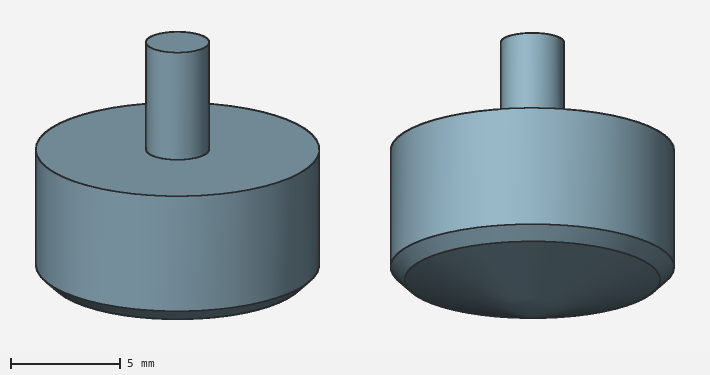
import cadquery as cq

total_height = 13.2
body_diameter = 13.0
stem_diameter = 2.9
stem_length = 5.2
chamfer_height = 0.62
chamfer_width = 0.65
tip_height = 1.8

body_radius = body_diameter / 2
stem_radius = stem_diameter / 2
tip_radius = body_radius - chamfer_width
body_bottom = tip_height + chamfer_height
body_top = total_height - stem_length

half_profile = (
    cq.Workplane("XZ")
    .moveTo(0, 0)
    .lineTo(tip_radius, tip_height)
    .lineTo(body_radius, body_bottom)
    .lineTo(body_radius, body_top)
    .lineTo(stem_radius, body_top)
    .lineTo(stem_radius, total_height)
    .lineTo(0, total_height)
    .close()
)

result = half_profile.revolve(360, (0, 0, 0), (0, 1, 0))